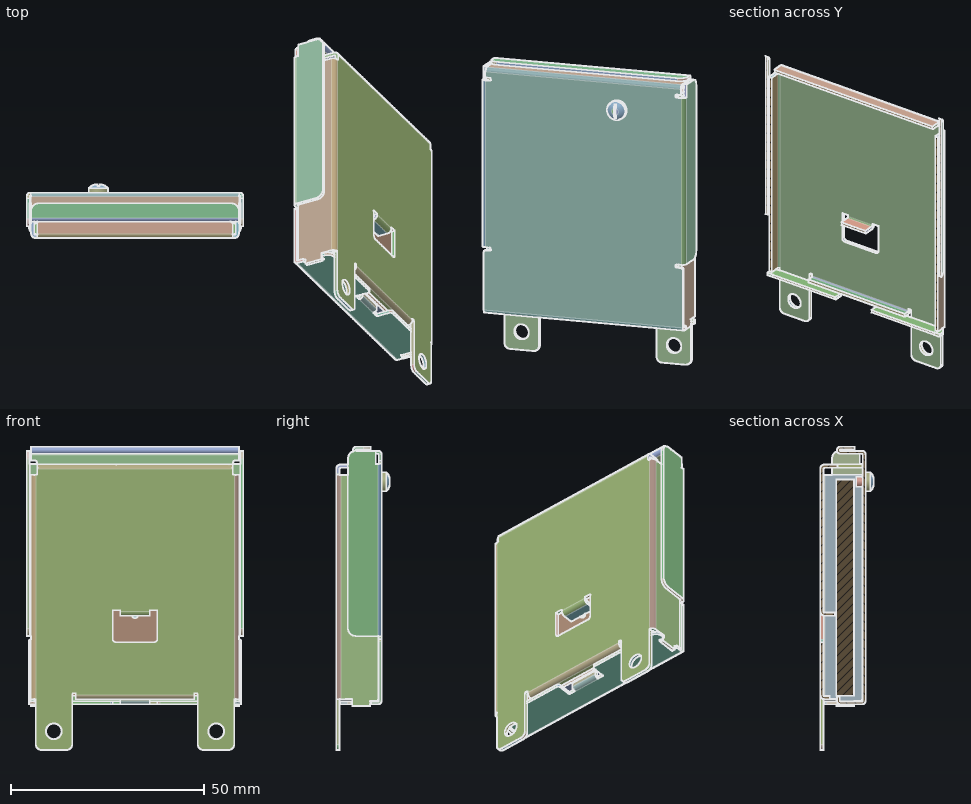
import cadquery as cq
import math


tray_sheet = 0.9
cover_sheet = 0.8
tray_bend_radius = 1.2
cover_bend_radius = 1.0
relief_height = 0.85
relief_radius = 0.4
overall_height = 78.51
overall_depth = 13.89
cover_half_width = 56.06 / 2
cover_back = 11.8
cover_inner_back = cover_back - cover_sheet

tray_half_width = 26.9
tray_depth = 10.9
tray_wall_bottom = 13.2
tray_wall_top = 71.2
tray_top = 73.9
top_flange_half_width = 25.25
top_flange_depth = 4.5
deep_flange_right = -4.9
flange_corner_radius = 1.0
bottom_flange_half_width = 15.35
bottom_flange_depth = 2.5
bottom_flange_bottom = 13.1
leg_inner = 16.2
leg_outer = tray_half_width - tray_bend_radius
leg_radius = 1.5
leg_hole_x = 21.0
leg_hole_z = 4.85
leg_hole_diameter = 4.0
leg_relief_top = 14.75
lug_front = 4.1
lug_back = 8.8
lug_bottom = 11.35
wall_heel_bottom = 12.65
wall_heel_radius = 0.5

window_half_width = 5.75
window_bottom = 27.9
window_top = 36.2
window_radius = 0.8
tab_half_width = 3.87
tab_bottom = 34.7
tab_depth = 3.9

cover_wall_front = 3.05
cover_wall_bottom = 29.5
cover_bend_top = 74.0
cover_wall_top = 77.4
cover_wall_back_above_bend = 10.3
cover_wall_radius = 2.0
relief_half_width = 25.4
skirt_half_width = 27.45
skirt_corner_radius = 0.5
cover_bottom = 11.8
cover_flange_front = 1.0
cover_flange_radius = 1.9
lug_clearance = 0.25

hem_radius = 0.95
hem_half_width = 26.9
hem_axis_y = 5.25
hem_leaf_back = 9.0
hem_leaf_radius = 2.0
cover_top = overall_height - 2 * hem_radius + cover_sheet

notch_half_width = 5.7
notch_back = 5.3
notch_radius = 0.7
lip_front = 4.3
lip_top = 13.9

insert_half_width = tray_half_width - tray_sheet
insert_front = 4.1
insert_back = 8.8
insert_bottom = 14.0
insert_top = 70.0

stud_radius = 0.75
stud_z = 34.85
stud_height = 0.2

screw_x = -9.48
screw_z = 69.4
head_radius = 2.52
head_rim_height = 1.1
head_height = overall_depth - cover_back
head_flat_radius = 0.9
dome_bulge = 0.12
shank_radius = 1.25
shank_length = 2.5
slot_width = 0.5
slot_depth = 0.4


def block(x0, x1, y0, y1, z0, z1):
    """Box between two corners."""
    return cq.Workplane("XY").box(x1 - x0, y1 - y0, z1 - z0, centered=False).translate((x0, y0, z0))


def angle(plane, sheet, bend_radius, start, end, corner, leg_ends):
    """Sheet bent at a right angle: outer corner, the ends of its two legs, extruded from start to end."""
    u, v = corner
    u_end, v_end = leg_ends
    su = math.copysign(1, u_end - u)
    sv = math.copysign(1, v_end - v)
    outer_mid = bend_radius * (1 - math.sqrt(0.5))
    inner_mid = bend_radius - (bend_radius - sheet) * math.sqrt(0.5)
    return (
        cq.Workplane(plane)
        .workplane(offset=start)
        .moveTo(u_end, v)
        .lineTo(u + su * bend_radius, v)
        .threePointArc((u + su * outer_mid, v + sv * outer_mid), (u, v + sv * bend_radius))
        .lineTo(u, v_end)
        .lineTo(u + su * sheet, v_end)
        .lineTo(u + su * sheet, v + sv * bend_radius)
        .threePointArc((u + su * inner_mid, v + sv * inner_mid), (u + su * bend_radius, v + sv * sheet))
        .lineTo(u_end, v + sv * sheet)
        .close()
        .extrude(end - start)
    )


def round_corners(body, direction, low, high, radius):
    """Fillet the edges along a direction that lie between two corners of a box."""
    reach = radius / 4
    region = cq.selectors.BoxSelector(
        tuple(value - reach for value in low),
        tuple(value + reach for value in high),
    )
    return body.edges(direction).edges(region).fillet(radius)


def round_relief_ends(body, half_width, front, back, bottom, top):
    """Round the inner corners of the relief cuts on both sides of a sheet from front to back."""
    for x in (-half_width, half_width):
        body = round_corners(body, "|Y", (x, front, bottom), (x, back, top), relief_radius)
    return body


def tray_leg(side):
    """Mounting leg with a rounded foot and a screw hole."""
    centre = side * (leg_inner + leg_outer) / 2
    half = (leg_outer - leg_inner) / 2
    leg = block(centre - half, centre + half, 0, tray_sheet, 0, leg_relief_top)
    leg = leg.edges("|Y and <Z").fillet(leg_radius)
    hole = (
        cq.Workplane("XZ")
        .center(side * leg_hole_x, leg_hole_z)
        .circle(leg_hole_diameter / 2)
        .extrude(-tray_sheet)
    )
    return leg.cut(hole)


def tray_top_flange():
    """Top flange, full depth on the left and shallow on the right."""
    flange = angle(
        "YZ", tray_sheet, tray_bend_radius, -top_flange_half_width, top_flange_half_width,
        (0, tray_top), (top_flange_depth, tray_wall_top),
    )
    flange = flange.edges("|Z and >X and >Y").fillet(flange_corner_radius)
    deep_stretch = block(
        -top_flange_half_width, deep_flange_right, tray_bend_radius, tray_depth,
        tray_top - tray_sheet, tray_top,
    )
    return flange.union(deep_stretch)


def tray_window():
    """Cutter for the window, with rounded lower corners."""
    window = block(-window_half_width, window_half_width, 0, tray_sheet, window_bottom, window_top)
    return window.edges("|Y and <Z").fillet(window_radius)


def make_tray():
    """Tray: front plate with side walls, top and bottom flanges, window tab, legs and lugs."""
    tray = tray_top_flange()
    for side in (-1, 1):
        tray = tray.union(
            angle(
                "XY", tray_sheet, tray_bend_radius, tray_wall_bottom, tray_wall_top,
                (side * tray_half_width, 0), (0, tray_depth),
            )
        )
    opening = block(-leg_inner, leg_inner, 0, tray_sheet, tray_wall_bottom, leg_relief_top)
    tray = tray.cut(opening.edges("|Y and >Z").fillet(relief_radius))
    tray = tray.union(
        angle(
            "YZ", tray_sheet, tray_bend_radius, -bottom_flange_half_width, bottom_flange_half_width,
            (0, bottom_flange_bottom), (bottom_flange_depth, leg_relief_top),
        )
    )
    tray = tray.cut(tray_window())
    tray = tray.union(
        angle(
            "YZ", tray_sheet, tray_bend_radius, -tab_half_width, tab_half_width,
            (0, tab_bottom), (tab_depth, window_top),
        )
    )
    for side in (-1, 1):
        tray = tray.union(tray_leg(side))
        inner, outer = sorted((side * (tray_half_width - tray_sheet), side * tray_half_width))
        tray = tray.union(block(inner, outer, lug_front, lug_back, lug_bottom, tray_wall_bottom))
        heel = block(inner, outer, lug_back, tray_depth, wall_heel_bottom, tray_wall_bottom)
        tray = tray.union(heel.edges("|X and >Y and <Z").fillet(wall_heel_radius))
    return round_relief_ends(tray, top_flange_half_width, 0, tray_sheet, tray_wall_top, tray_wall_top)


def cover_wall(side):
    """Side wall of the cover with its bend and rounded front corners."""
    inner, outer = sorted((side * (cover_half_width - cover_sheet), side * cover_half_width))
    wall = angle(
        "XY", cover_sheet, cover_bend_radius, cover_wall_bottom, cover_bend_top,
        (side * cover_half_width, cover_back), (0, cover_wall_front),
    )
    upper = block(
        inner, outer, cover_wall_front, cover_wall_back_above_bend, cover_bend_top, cover_wall_top
    )
    return wall.union(upper).edges("|X and <Y").fillet(cover_wall_radius)


def cover_hem():
    """Top flange folded back over itself, with the rounded free leaf on top."""
    hem_axis_z = overall_height - hem_radius
    width = 2 * hem_half_width
    flange = angle(
        "YZ", cover_sheet, cover_bend_radius, -hem_half_width, hem_half_width,
        (cover_back, cover_top), (hem_axis_y, cover_bend_top + relief_height),
    )
    fold = (
        cq.Workplane("YZ")
        .workplane(offset=-hem_half_width)
        .center(hem_axis_y, hem_axis_z)
        .circle(hem_radius)
        .circle(hem_radius - cover_sheet)
        .extrude(width)
    )
    fold = fold.intersect(
        block(
            -hem_half_width, hem_half_width, hem_axis_y - hem_radius, hem_axis_y,
            hem_axis_z - hem_radius, overall_height,
        )
    )
    leaf = block(
        -hem_half_width, hem_half_width, hem_axis_y, hem_leaf_back,
        overall_height - cover_sheet, overall_height,
    )
    leaf = leaf.edges("|Z and >Y").fillet(hem_leaf_radius)
    return flange.union(fold).union(leaf)


def cover_skirt():
    """Lower back of the cover with its bottom flange, lug notches and upturned lip."""
    skirt_top = cover_wall_bottom - relief_height
    skirt = angle(
        "YZ", cover_sheet, cover_bend_radius, -skirt_half_width, skirt_half_width,
        (cover_back, cover_bottom), (cover_flange_front, skirt_top),
    )
    skirt = skirt.edges("|Y and >Z").fillet(skirt_corner_radius)
    skirt = skirt.edges("|Z and <Y").fillet(cover_flange_radius)
    flange_top = cover_bottom + cover_sheet
    lug_inner = tray_half_width - tray_sheet - lug_clearance
    for side in (-1, 1):
        inner, outer = sorted((side * lug_inner, side * skirt_half_width))
        skirt = skirt.cut(
            block(
                inner, outer, lug_front - lug_clearance, lug_back + lug_clearance, cover_bottom, flange_top
            )
        )
    notch = block(
        -notch_half_width, notch_half_width, cover_flange_front, notch_back, cover_bottom, flange_top
    )
    skirt = round_corners(
        skirt.cut(notch), "|Z",
        (-notch_half_width, cover_flange_front, cover_bottom),
        (notch_half_width, cover_flange_front, flange_top),
        notch_radius,
    )
    lip = angle(
        "YZ", cover_sheet, cover_bend_radius, -tab_half_width, tab_half_width,
        (lip_front, cover_bottom), (notch_back + cover_sheet, lip_top),
    )
    return skirt.union(lip)


def make_cover():
    """Cover: back plate with side walls, hemmed top flange and skirt, relieved at the bends."""
    cover = cover_hem().union(cover_skirt())
    for side in (-1, 1):
        cover = cover.union(cover_wall(side))
    for relief_bottom in (cover_wall_bottom - relief_height, cover_bend_top):
        cover = cover.union(
            block(
                -relief_half_width, relief_half_width, cover_inner_back, cover_back,
                relief_bottom, relief_bottom + relief_height,
            )
        )
        cover = round_relief_ends(
            cover, relief_half_width, cover_inner_back, cover_back,
            relief_bottom, relief_bottom + relief_height,
        )
    screw_hole = (
        cq.Workplane("XZ", origin=(screw_x, cover_back, screw_z)).circle(shank_radius).extrude(cover_sheet)
    )
    return cover.cut(screw_hole)


def make_insert():
    """Rectangular insert with a short round stud on its front face."""
    insert = block(
        -insert_half_width, insert_half_width, insert_front, insert_back, insert_bottom, insert_top
    )
    stud = cq.Workplane("XZ", origin=(0, insert_front, stud_z)).circle(stud_radius).extrude(stud_height)
    return insert.union(stud)


def make_screw():
    """Slotted domed-head screw, drawn along its axis with the seat of the head at height zero."""
    dome_mid_radius = (head_radius + head_flat_radius) / 2 + dome_bulge
    dome_mid_height = (head_rim_height + head_height) / 2 + dome_bulge
    profile = (
        cq.Workplane("XY")
        .moveTo(0, -shank_length)
        .lineTo(shank_radius, -shank_length)
        .lineTo(shank_radius, 0)
        .lineTo(head_radius, 0)
        .lineTo(head_radius, head_rim_height)
        .threePointArc((dome_mid_radius, dome_mid_height), (head_flat_radius, head_height))
        .lineTo(0, head_height)
        .close()
    )
    screw = profile.revolve(360, (0, 0, 0), (0, 1, 0))
    slot = block(
        -slot_width / 2, slot_width / 2, head_height - slot_depth, head_height, -head_radius, head_radius
    )
    return screw.cut(slot).translate((screw_x, cover_back, screw_z))


tray = make_tray()
cover = make_cover()
insert = make_insert()
screw = make_screw()

result = cq.Compound.makeCompound([tray.val(), cover.val(), insert.val(), screw.val()])